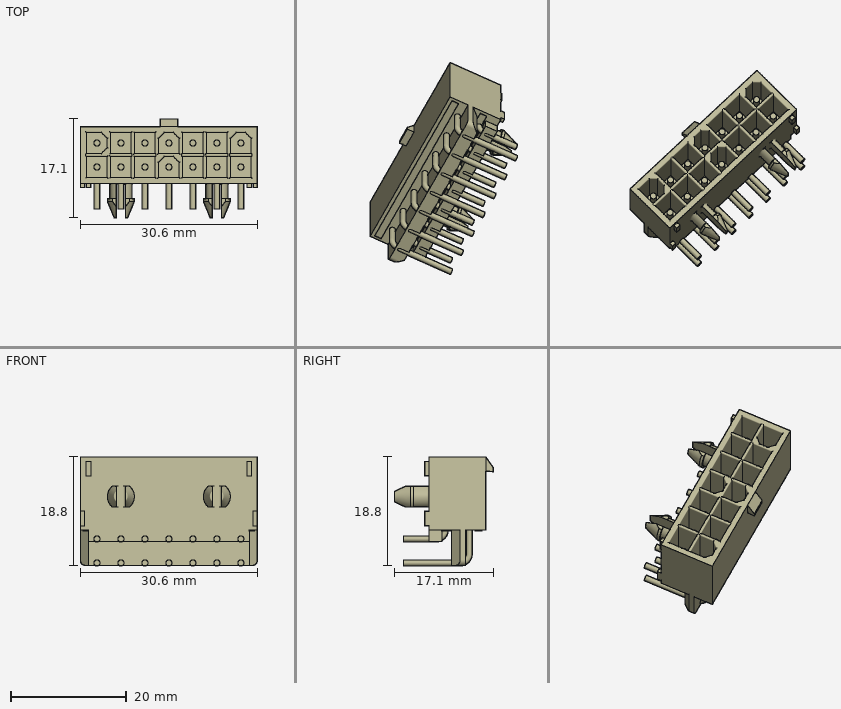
import cadquery as cq
import math


LENGTH = 30.56
DEPTH = 9.84
HEIGHT = 12.66

COLUMNS = 7
ROWS = 2
PITCH = 4.14
FRONT_ROW_Y = 2.85
CELL_SIZE = 3.57
CELL_DEPTH = 10.0
CELL_CORNER_CUT = 1.0
CELL_MOUTH_ROUND = 0.2

BACK_CORNERS = ((-1, 1), (1, 1))
RIGHT_CORNERS = ((1, -1), (1, 1))
KEYED_CELLS = {
    (0, 1): RIGHT_CORNERS,
    (3, 1): BACK_CORNERS,
    (6, 1): BACK_CORNERS,
    (3, 0): BACK_CORNERS,
}

PIN_DIAMETER = 1.06
PIN_BEND_RADIUS = 1.58
PIN_TIP_Y = -4.4
FRONT_PIN_Z = -1.51
PIN_TOP_Z = 8.5

SUPPORT_INSET = 1.4
FRONT_SUPPORT_DEPTH = 2.26
FRONT_SUPPORT_DROP = 1.98
BACK_SUPPORT_FRONT_Y = 3.9
BACK_SUPPORT_CHAMFER_Y = 5.4
BACK_SUPPORT_BACK_Y = 6.36
BACK_SUPPORT_DROP = 6.1
BACK_SUPPORT_ROUND = 0.9

STRIP_WIDTH = 1.25
STRIP_DROP = 0.12
STRIP_INSET = 0.5
STRIP_CENTRES_Y = (3.13, 8.58)

PAD_PROJECTION = 0.7
PAD_HEIGHT = 2.53
UPPER_PAD_WIDTH = 0.81
UPPER_PAD_OUTER_X = 14.28
UPPER_PAD_TOP_GAP = 0.77
LOWER_PAD_WIDTH = 0.73
LOWER_PAD_BOTTOM_Z = 0.75

PEG_X = 2 * PITCH
PEG_Z = 5.8
PEG_STEM_RADIUS = 1.95
PEG_BARB_RADIUS = 2.33
PEG_TIP_RADIUS = 1.17
PEG_BARB_START = 2.62
PEG_BARB_END = 3.12
PEG_LENGTH = 5.94
PEG_HEIGHT = 3.65
PEG_SLOT_WIDTH = 1.54
PEG_ROOT_FILLET = 0.2
PEG_SLOT_ROOT_FILLET = 0.3
PEG_TIP_ROUND = 0.14

LATCH_WIDTH = 3.06
LATCH_PROJECTION = 1.31
LATCH_RAMP_HEIGHT = 1.87
LATCH_TIP_HEIGHT = 0.72
LATCH_HOOK = 0.12


def block(x_range, y_range, z_range):
    """Axis-aligned box given by its limits."""
    sizes = [high - low for low, high in (x_range, y_range, z_range)]
    corner = (x_range[0], y_range[0], z_range[0])
    return cq.Workplane("XY").box(*sizes, centered=False).translate(corner)


def column_x(column):
    return (column - (COLUMNS - 1) / 2) * PITCH


def row_y(row):
    return FRONT_ROW_Y + row * PITCH


def cell_cutter(column, row):
    """Square well with its key corners, if any, cut off."""
    cutter = cq.Workplane("XY").rect(CELL_SIZE, CELL_SIZE).extrude(-CELL_DEPTH)
    for sign_x, sign_y in KEYED_CELLS.get((column, row), ()):
        on_corner = (sign_x * CELL_SIZE / 2, sign_y * CELL_SIZE / 2, -CELL_DEPTH / 2)
        cutter = cutter.edges(cq.selectors.NearestToPointSelector(on_corner)).chamfer(CELL_CORNER_CUT)
    return cutter.translate((column_x(column), row_y(row), HEIGHT))


def hollow_housing():
    """Block with a grid of wells whose mouths are rounded over."""
    housing = block((-LENGTH / 2, LENGTH / 2), (0, DEPTH), (0, HEIGHT))
    for column in range(COLUMNS):
        for row in range(ROWS):
            housing = housing.cut(cell_cutter(column, row))
    mouths = housing.faces(">Z").val().innerWires()
    mouth_edges = [edge for mouth in mouths for edge in mouth.Edges()]
    return housing.newObject(mouth_edges).fillet(CELL_MOUTH_ROUND)


def pin(column, row):
    """Round pin that drops from its cell and bends toward the board, lower for the back row."""
    vertical_y = row_y(row)
    horizontal_z = FRONT_PIN_Z - row * PITCH
    bend_middle = PIN_BEND_RADIUS * (1 - math.sqrt(0.5))
    path = (
        cq.Workplane("YZ")
        .moveTo(vertical_y, PIN_TOP_Z)
        .lineTo(vertical_y, horizontal_z + PIN_BEND_RADIUS)
        .threePointArc(
            (vertical_y - bend_middle, horizontal_z + bend_middle),
            (vertical_y - PIN_BEND_RADIUS, horizontal_z),
        )
        .lineTo(PIN_TIP_Y, horizontal_z)
    )
    section = cq.Workplane("XY", origin=(0, vertical_y, PIN_TOP_Z)).circle(PIN_DIAMETER / 2)
    return section.sweep(path).translate((column_x(column), 0, 0))


def back_support():
    """Wall with bevelled front corners and rounded lower ends."""
    end = LENGTH / 2
    inner = end - SUPPORT_INSET
    wall = (
        cq.Workplane("XY")
        .polyline([
            (-inner, BACK_SUPPORT_FRONT_Y),
            (inner, BACK_SUPPORT_FRONT_Y),
            (end, BACK_SUPPORT_CHAMFER_Y),
            (end, BACK_SUPPORT_BACK_Y),
            (-end, BACK_SUPPORT_BACK_Y),
            (-end, BACK_SUPPORT_CHAMFER_Y),
        ])
        .close()
        .extrude(-BACK_SUPPORT_DROP)
    )
    envelope = block((-end, end), (0, DEPTH), (-BACK_SUPPORT_DROP, 0))
    rounded_envelope = envelope.faces("<Z").edges("|Y").fillet(BACK_SUPPORT_ROUND)
    return wall.intersect(rounded_envelope)


def front_support():
    inner = LENGTH / 2 - SUPPORT_INSET
    return block((-inner, inner), (0, FRONT_SUPPORT_DEPTH), (-FRONT_SUPPORT_DROP, 0))


def underside_strip(centre_y):
    inner = LENGTH / 2 - STRIP_INSET
    y_range = (centre_y - STRIP_WIDTH / 2, centre_y + STRIP_WIDTH / 2)
    return block((-inner, inner), y_range, (-STRIP_DROP, 0))


def pads():
    """Upper and lower pads of the right-hand end."""
    upper_top = HEIGHT - UPPER_PAD_TOP_GAP
    upper = block(
        (UPPER_PAD_OUTER_X - UPPER_PAD_WIDTH, UPPER_PAD_OUTER_X),
        (-PAD_PROJECTION, 0),
        (upper_top - PAD_HEIGHT, upper_top),
    )
    lower = block(
        (LENGTH / 2 - LOWER_PAD_WIDTH, LENGTH / 2),
        (-PAD_PROJECTION, 0),
        (LOWER_PAD_BOTTOM_Z, LOWER_PAD_BOTTOM_Z + PAD_HEIGHT),
    )
    return [upper, lower]


def peg():
    """Flat-sided barbed peg along -Y, split by a slot that narrows at its filleted root."""
    turned = (
        cq.Workplane("XY")
        .moveTo(0, 0)
        .lineTo(PEG_STEM_RADIUS + PEG_ROOT_FILLET, 0)
        .radiusArc((PEG_STEM_RADIUS, -PEG_ROOT_FILLET), -PEG_ROOT_FILLET)
        .lineTo(PEG_STEM_RADIUS, -PEG_BARB_START)
        .lineTo(PEG_BARB_RADIUS, -PEG_BARB_START)
        .lineTo(PEG_BARB_RADIUS, -PEG_BARB_END)
        .lineTo(PEG_TIP_RADIUS, -PEG_LENGTH)
        .lineTo(0, -PEG_LENGTH)
        .close()
        .revolve(360, (0, 0, 0), (0, 1, 0))
        .faces("<Y")
        .edges()
        .fillet(PEG_TIP_ROUND)
    )
    half_slot = PEG_SLOT_WIDTH / 2
    half_slot_root = half_slot - PEG_SLOT_ROOT_FILLET
    slot = (
        cq.Workplane("XY")
        .moveTo(half_slot_root, 0)
        .radiusArc((half_slot, -PEG_SLOT_ROOT_FILLET), PEG_SLOT_ROOT_FILLET)
        .lineTo(half_slot, -PEG_LENGTH)
        .lineTo(-half_slot, -PEG_LENGTH)
        .lineTo(-half_slot, -PEG_SLOT_ROOT_FILLET)
        .radiusArc((-half_slot_root, 0), PEG_SLOT_ROOT_FILLET)
        .close()
        .extrude(PEG_HEIGHT / 2, both=True)
    )
    flats = block(
        (-PEG_BARB_RADIUS, PEG_BARB_RADIUS),
        (-PEG_LENGTH, 0),
        (-PEG_HEIGHT / 2, PEG_HEIGHT / 2),
    )
    return turned.intersect(flats).cut(slot).translate((PEG_X, 0, PEG_Z))


def latch():
    """Ramp on the back face, with a small downward hook at its tip."""
    tip_y = DEPTH + LATCH_PROJECTION
    tip_bottom = HEIGHT - LATCH_RAMP_HEIGHT - LATCH_TIP_HEIGHT
    return (
        cq.Workplane("YZ")
        .polyline([
            (DEPTH, HEIGHT),
            (tip_y, HEIGHT - LATCH_RAMP_HEIGHT),
            (tip_y, tip_bottom),
            (DEPTH, tip_bottom + LATCH_HOOK),
        ])
        .close()
        .extrude(LATCH_WIDTH / 2, both=True)
    )


body = hollow_housing().union(front_support()).union(back_support()).union(latch())
for centre_y in STRIP_CENTRES_Y:
    body = body.union(underside_strip(centre_y))
for fitting in pads() + [peg()]:
    body = body.union(fitting).union(fitting.mirror("YZ"))
for column in range(COLUMNS):
    for row in range(ROWS):
        body = body.union(pin(column, row))

result = body